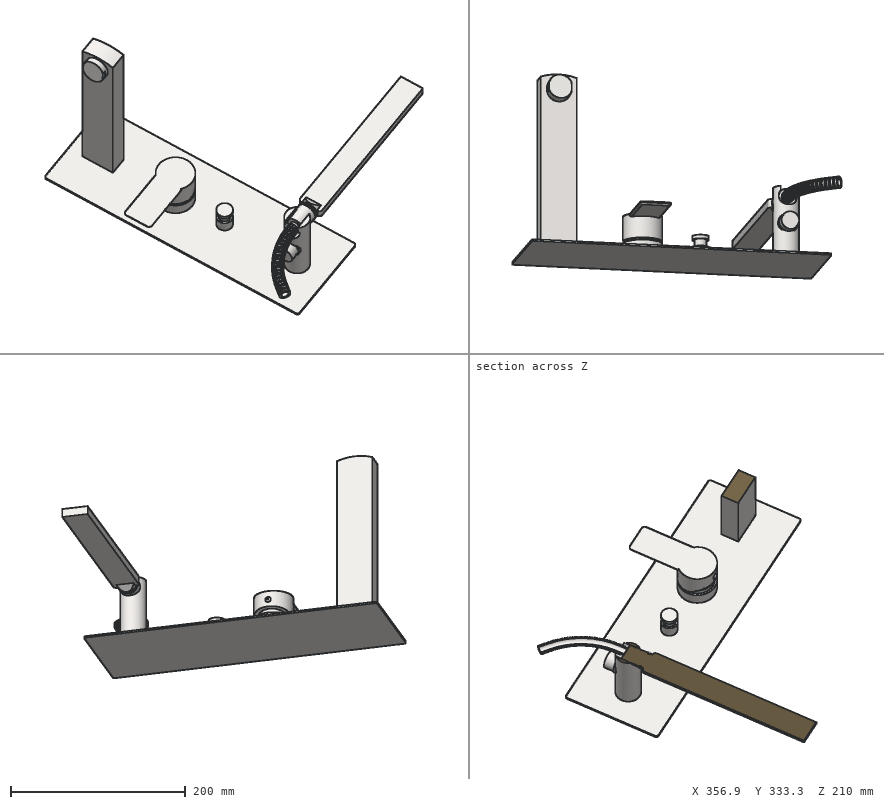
import cadquery as cq
import math


PLATE_LENGTH = 350.0
PLATE_WIDTH = 120.0
PLATE_THICK = 2.0
PLATE_CORNER = 3.0

SPOUT_X = 41.0
SPOUT_WIDTH = 42.0
SPOUT_DEPTH = 22.0
SPOUT_TOP = 210.0
SPOUT_CROWN = 3.5
OUTLET_RADIUS = 14.3
OUTLET_Z = 193.5
OUTLET_REACH = 9.5
OUTLET_TILT = 8.0
OUTLET_FLAT_OFFSET = 13.2
OUTLET_FLAT_LENGTH = 4.5

MIXER_X = 141.0
MIXER_RADIUS = 23.0
MIXER_BASE_TOP = 17.0
MIXER_CAP_BOTTOM = 19.5
MIXER_TOP = 48.5
NECK_RADIUS = 20.5
NECK_TOP = 23.0
STEM_RADIUS = 18.2
SCOOP_MID_Y = 11.0
SCOOP_MID_Z = 25.7
SCOOP_REAR_Z = 29.3
MARKER_Z = 38.0
MARKER_RADIUS = 3.4
MARKER_TIP_RADIUS = 1.0
MARKER_HEIGHT = 3.0
LEVER_WIDTH = 36.5
LEVER_REACH = 80.0
LEVER_THICK = 4.0
LEVER_CORNER = 4.3
LEVER_ROUND = 1.0
LEVER_UNDERCUT = 2.0

DIVERTER_X = 208.8
DIVERTER_RADIUS = 9.5
DIVERTER_NECK_RADIUS = 7.0
DIVERTER_BASE_TOP = 16.5
DIVERTER_CAP_BOTTOM = 25.0
DIVERTER_TOP = 29.3

POST_X = 308.7
POST_RADIUS = 15.0
POST_TOP = 90.5
SHOWER_Z = 78.5
HOLDER_SLOT = 17.0
KNOB_Z = 47.0
KNOB_RADIUS = 10.5
KNOB_FRONT = 26.0
KNOB_BACK = 13.2
KNOB_COLLAR_RADIUS = 11.5

SEAT_FRONT_RADIUS = 10.5
SEAT_BACK_RADIUS = 11.8
SEAT_FRONT = -POST_RADIUS
SEAT_BACK = 20.5

NUT_FRONT = -3.5
FLANGE_FRONT = 23.0
SHOWER_NECK_RADIUS = 10.5
STUB_FRONT = 24.0
STUB_BEVEL = 25.5
STUB_BACK = 34.0
STUB_RADIUS = 11.5
WAND_FRONT = 25.5
WAND_BACK = 236.5
WAND_WIDTH = 30.5
WAND_THICK = 10.0
WAND_CORNER = 3.5

HOSE_RADIUS = 6.8
HOSE_CORE_RADIUS = 6.0
HOSE_BORE_RADIUS = 4.3
HOSE_BEND_START = -13.0
HOSE_BEND_RADIUS = 90.3
HOSE_BEND_ANGLE = math.radians(52.0)
HOSE_TAIL = 11.8
HOSE_PLAIN_END = 4.0
HOSE_RINGS = 19
HOSE_RING_SHARE = 0.6
HOSE_LEAD = NUT_FRONT - HOSE_BEND_START
HOSE_BEND_LENGTH = HOSE_BEND_RADIUS * HOSE_BEND_ANGLE
HOSE_LENGTH = HOSE_LEAD + HOSE_BEND_LENGTH + HOSE_TAIL


def upright(x, radius, bottom, top):
    """Vertical cylinder on the plate's centre line."""
    return cq.Workplane("XY", origin=(x, 0, bottom)).circle(radius).extrude(top - bottom)


def level(x, z, radius, y_start, y_end):
    """Cylinder along Y."""
    plane = cq.Plane(origin=(x, y_start, z), xDir=(1, 0, 0), normal=(0, 1, 0))
    return cq.Workplane(plane).circle(radius).extrude(y_end - y_start)


def make_plate():
    plate = cq.Workplane("XY").box(PLATE_LENGTH, PLATE_WIDTH, PLATE_THICK, centered=(False, True, False))
    return plate.edges("|Z").fillet(PLATE_CORNER)


def make_outlet():
    """Round nozzle tilted slightly upward, with a wrench flat on each side of its tip."""
    tilt = math.radians(OUTLET_TILT)
    front_centre = (SPOUT_X, -SPOUT_DEPTH / 2 - OUTLET_REACH, OUTLET_Z)
    plane = cq.Plane(origin=front_centre, xDir=(1, 0, 0), normal=(0, -math.cos(tilt), math.sin(tilt)))
    length = OUTLET_REACH + SPOUT_DEPTH / 2
    nozzle = cq.Workplane(plane).circle(OUTLET_RADIUS).extrude(-length)
    flats = (
        cq.Workplane(plane)
        .rect(4 * OUTLET_RADIUS, 4 * OUTLET_RADIUS)
        .rect(2 * OUTLET_FLAT_OFFSET, 4 * OUTLET_RADIUS)
        .extrude(-OUTLET_FLAT_LENGTH)
    )
    return nozzle.cut(flats)


def make_spout():
    half = SPOUT_WIDTH / 2
    shoulder = SPOUT_TOP - SPOUT_CROWN
    column = (
        cq.Workplane("XZ", origin=(SPOUT_X, 0, 0))
        .moveTo(-half, 0)
        .lineTo(half, 0)
        .lineTo(half, shoulder)
        .threePointArc((0, SPOUT_TOP), (-half, shoulder))
        .close()
        .extrude(SPOUT_DEPTH / 2, both=True)
    )
    return column.union(make_outlet())


def make_lever():
    bottom = MIXER_TOP - LEVER_THICK
    lever = (
        cq.Workplane("XY", origin=(MIXER_X, -LEVER_REACH / 2, bottom))
        .rect(LEVER_WIDTH, LEVER_REACH)
        .extrude(LEVER_THICK)
    )
    lever = lever.edges("|Z and <Y").fillet(LEVER_CORNER)
    lever = lever.faces(">Z").edges().fillet(LEVER_ROUND)
    return lever.faces("<Z").edges().chamfer(LEVER_UNDERCUT)


def make_mixer():
    base = upright(MIXER_X, MIXER_RADIUS, 0, MIXER_BASE_TOP)
    neck = upright(MIXER_X, NECK_RADIUS, 0, NECK_TOP)
    stem = upright(MIXER_X, STEM_RADIUS, 0, MIXER_TOP)
    cap = upright(MIXER_X, MIXER_RADIUS, MIXER_CAP_BOTTOM, MIXER_TOP)
    scoop = (
        cq.Workplane("YZ", origin=(MIXER_X, 0, 0))
        .moveTo(0, MIXER_CAP_BOTTOM)
        .threePointArc((SCOOP_MID_Y, SCOOP_MID_Z), (MIXER_RADIUS, SCOOP_REAR_Z))
        .lineTo(MIXER_RADIUS, MIXER_CAP_BOTTOM)
        .close()
        .extrude(MIXER_RADIUS, both=True)
    )
    marker_base_y = math.sqrt(MIXER_RADIUS**2 - MARKER_RADIUS**2)
    marker = cq.Workplane(
        cq.Solid.makeCone(
            MARKER_RADIUS,
            MARKER_TIP_RADIUS,
            MARKER_HEIGHT,
            cq.Vector(MIXER_X, marker_base_y, MARKER_Z),
            cq.Vector(0, 1, 0),
        )
    )
    cap = cap.cut(scoop).union(marker)
    return base.union(neck).union(stem).union(cap).union(make_lever())


def make_diverter():
    base = upright(DIVERTER_X, DIVERTER_RADIUS, 0, DIVERTER_BASE_TOP)
    neck = upright(DIVERTER_X, DIVERTER_NECK_RADIUS, 0, DIVERTER_TOP)
    cap = upright(DIVERTER_X, DIVERTER_RADIUS, DIVERTER_CAP_BOTTOM, DIVERTER_TOP)
    return base.union(neck).union(cap)


def make_seat_cone():
    """Cone shared by the bore of the post and the nut that lies in it."""
    return cq.Workplane(
        cq.Solid.makeCone(
            SEAT_FRONT_RADIUS,
            SEAT_BACK_RADIUS,
            SEAT_BACK - SEAT_FRONT,
            cq.Vector(POST_X, SEAT_FRONT, SHOWER_Z),
            cq.Vector(0, 1, 0),
        )
    )


def make_post():
    post = upright(POST_X, POST_RADIUS, 0, POST_TOP)
    slot = cq.Workplane("XY", origin=(POST_X, 0, SHOWER_Z)).box(
        HOLDER_SLOT, 2 * POST_RADIUS, POST_TOP - SHOWER_Z, centered=(True, True, False)
    )
    knob_collar = level(POST_X, KNOB_Z, KNOB_COLLAR_RADIUS, -KNOB_BACK, 0)
    knob = level(POST_X, KNOB_Z, KNOB_RADIUS, -KNOB_FRONT, -KNOB_BACK)
    return post.cut(make_seat_cone()).cut(slot).union(knob_collar).union(knob)


def make_fixture():
    """Plate and everything that stands on it."""
    fixture = make_plate()
    for fitting in (make_spout(), make_mixer(), make_diverter(), make_post()):
        fixture = fixture.union(fitting)
    return fixture


def make_shower():
    """Tapered nut lying in the holder, grooved neck, beveled stub and flat wand."""
    nut_cutter = level(POST_X, SHOWER_Z, SEAT_BACK_RADIUS, NUT_FRONT, SEAT_BACK)
    nut = make_seat_cone().intersect(nut_cutter)
    neck = level(POST_X, SHOWER_Z, SHOWER_NECK_RADIUS, SEAT_BACK, STUB_FRONT)
    flange = level(POST_X, SHOWER_Z, SEAT_BACK_RADIUS, FLANGE_FRONT, STUB_FRONT)
    stub = level(POST_X, SHOWER_Z, STUB_RADIUS, STUB_FRONT, STUB_BACK)
    wedge = (
        cq.Workplane("YZ", origin=(POST_X, 0, SHOWER_Z))
        .moveTo(STUB_FRONT, -STUB_RADIUS)
        .lineTo(STUB_BEVEL, -STUB_RADIUS)
        .lineTo(STUB_BACK, -WAND_THICK / 2)
        .lineTo(STUB_BACK, WAND_THICK / 2)
        .lineTo(STUB_BEVEL, STUB_RADIUS)
        .lineTo(STUB_FRONT, STUB_RADIUS)
        .close()
        .extrude(STUB_RADIUS, both=True)
    )
    wand = cq.Workplane("XY", origin=(POST_X, WAND_FRONT, SHOWER_Z)).box(
        WAND_WIDTH, WAND_BACK - WAND_FRONT, WAND_THICK, centered=(True, False, True)
    )
    wand = wand.edges("|Z and <Y").fillet(WAND_CORNER)
    return nut.union(neck).union(flange).union(stub.intersect(wedge)).union(wand)


def hose_plane(distance):
    """Plane across the hose at a distance along its centre line from the nut."""
    before = min(distance, HOSE_LEAD)
    angle = min(max(distance - HOSE_LEAD, 0) / HOSE_BEND_RADIUS, HOSE_BEND_ANGLE)
    after = max(distance - HOSE_LEAD - HOSE_BEND_LENGTH, 0)
    heading = (math.sin(angle), -math.cos(angle), 0)
    x = POST_X + HOSE_BEND_RADIUS * (1 - math.cos(angle)) + after * heading[0]
    y = NUT_FRONT - before - HOSE_BEND_RADIUS * math.sin(angle) + after * heading[1]
    return cq.Plane(origin=(x, y, SHOWER_Z), xDir=(0, 0, 1), normal=heading)


def make_hose():
    """Bent tube carrying evenly spaced rings, the last one flush with its end."""
    start = hose_plane(0).origin
    bend_from = hose_plane(HOSE_LEAD).origin
    bend_middle = hose_plane(HOSE_LEAD + HOSE_BEND_LENGTH / 2).origin
    bend_to = hose_plane(HOSE_LEAD + HOSE_BEND_LENGTH).origin
    end = hose_plane(HOSE_LENGTH).origin
    lead = cq.Edge.makeLine(start, bend_from)
    bend = cq.Edge.makeThreePointArc(bend_from, bend_middle, bend_to)
    tail = cq.Edge.makeLine(bend_to, end)
    path = cq.Workplane(cq.Wire.assembleEdges([lead, bend, tail]))
    hose = cq.Workplane(hose_plane(0)).circle(HOSE_CORE_RADIUS).sweep(path)
    pitch = (HOSE_LENGTH - HOSE_PLAIN_END) / (HOSE_RINGS - 1 + HOSE_RING_SHARE)
    ring_length = HOSE_RING_SHARE * pitch
    for index in range(HOSE_RINGS):
        ring_back = HOSE_LENGTH - index * pitch
        ring = cq.Workplane(hose_plane(ring_back)).circle(HOSE_RADIUS).extrude(-ring_length)
        hose = hose.union(ring)
    bore = cq.Workplane(hose_plane(0)).circle(HOSE_BORE_RADIUS).sweep(path)
    return hose.cut(bore)


fixture = make_fixture()
shower = make_shower()
hose = make_hose()

result = cq.Compound.makeCompound([fixture.val(), shower.val(), hose.val()])